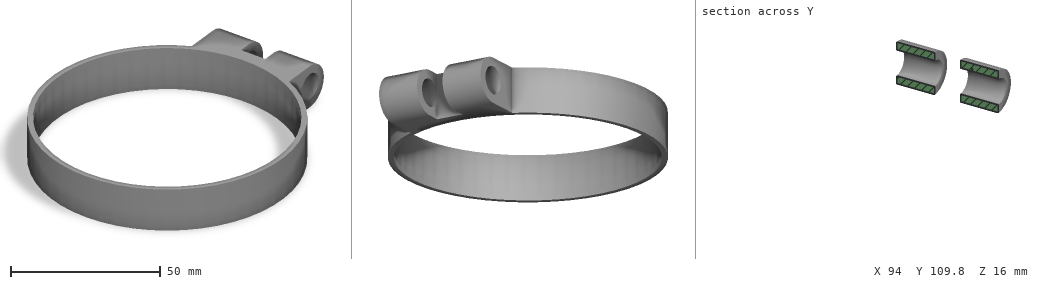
import cadquery as cq

overall_length = 109.8
outer_diameter = 94.0
inner_diameter = 90.0
height = 16.0
hinge_width = 40.0
slot_width = 10.0
slot_floor_y = 50.0
pin_diameter = 9.8

hinge_tip_y = overall_length - outer_diameter / 2
knuckle_radius = height / 2
pin_y = hinge_tip_y - knuckle_radius


def make_ring():
    """Plain cylindrical band, later bored out together with the hinge."""
    return cq.Workplane("XY").circle(outer_diameter / 2).extrude(height)


def make_hinge():
    """Block reaching out from the ring axis, ending in a full round knuckle."""
    return (
        cq.Workplane("YZ")
        .lineTo(pin_y, 0)
        .threePointArc((hinge_tip_y, knuckle_radius), (pin_y, height))
        .lineTo(0, height)
        .close()
        .extrude(hinge_width / 2, both=True)
    )


def make_bore():
    return cq.Workplane("XY").circle(inner_diameter / 2).extrude(height)


def make_slot():
    """Gap between the two knuckles, open at the tip."""
    slot_length = hinge_tip_y - slot_floor_y
    return (
        cq.Workplane("XY")
        .center(0, slot_floor_y + slot_length / 2)
        .rect(slot_width, slot_length)
        .extrude(height)
    )


def make_pin_hole():
    """Hole along X through both knuckles."""
    return (
        cq.Workplane("YZ")
        .center(pin_y, knuckle_radius)
        .circle(pin_diameter / 2)
        .extrude(hinge_width / 2, both=True)
    )


body = make_ring().union(make_hinge())
result = body.cut(make_bore()).cut(make_slot()).cut(make_pin_hole())